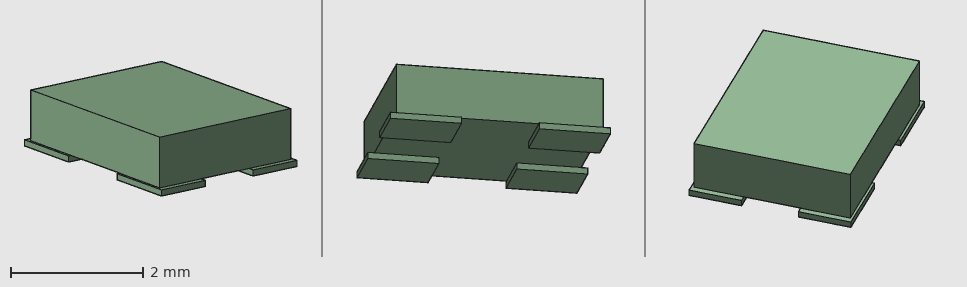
import cadquery as cq

overall_length = 3.39
overall_width = 2.59
overall_height = 0.9

pad_length = 1.095
pad_width = 0.84
pad_thickness = 0.1

body_length = 3.19
body_width = 2.502
body_height = overall_height - pad_thickness


def make_body():
    """Plain rectangular package, centred above the pads."""
    return (
        cq.Workplane("XY")
        .workplane(offset=pad_thickness)
        .box(body_length, body_width, body_height, centered=(True, True, False))
    )


def make_pad(side_x, side_y):
    """Flat pad at the corner of the footprint given by two signs."""
    center_x = side_x * (overall_length - pad_length) / 2
    center_y = side_y * (overall_width - pad_width) / 2
    return (
        cq.Workplane("XY")
        .center(center_x, center_y)
        .box(pad_length, pad_width, pad_thickness, centered=(True, True, False))
    )


body = make_body()
pads = [make_pad(side_x, side_y) for side_x in (-1, 1) for side_y in (-1, 1)]

result = cq.Compound.makeCompound([body.val(), *[pad.val() for pad in pads]])